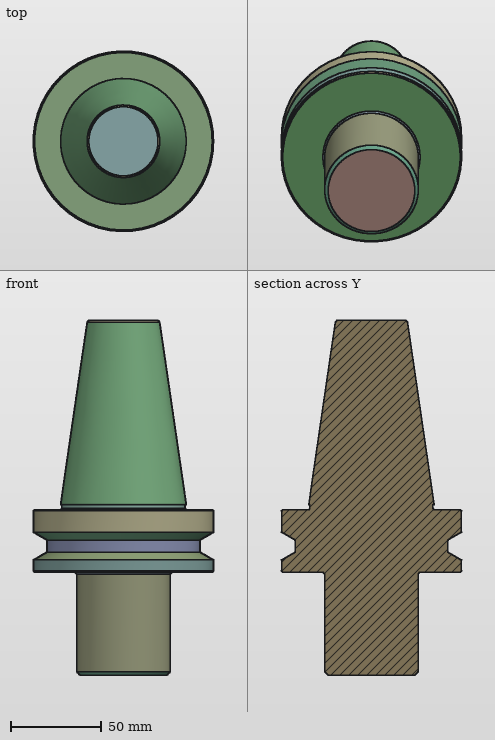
import cadquery as cq
import math

total_height = 196.8
gauge_height = 95.0
flange_top = 92.0
flange_bottom = 57.0

flange_radius = 50.0
flange_chamfer = 0.8

groove_radius = 42.5
groove_center = 71.6
groove_floor_width = 6.7
groove_angle = 30.0

taper_base_radius = 34.8
taper_land = 0.5
taper_ratio = 7 / 24
taper_tip_chamfer = 1.0
neck_radius = 34.2
neck_chamfer = 0.5

shank_radius = 26.0
shank_chamfer = 2.0
shank_root_chamfer = 1.0

groove_depth = flange_radius - groove_radius
flank_height = groove_depth * math.tan(math.radians(groove_angle))
floor_top = groove_center + groove_floor_width / 2
floor_bottom = groove_center - groove_floor_width / 2
chamfer_start = total_height - taper_tip_chamfer
taper_tip_radius = taper_base_radius - (chamfer_start - gauge_height) * taper_ratio / 2

profile = [
    (0, 0),
    (shank_radius - shank_chamfer, 0),
    (shank_radius, shank_chamfer),
    (shank_radius, flange_bottom - shank_root_chamfer),
    (shank_radius + shank_root_chamfer, flange_bottom),
    (flange_radius - flange_chamfer, flange_bottom),
    (flange_radius, flange_bottom + flange_chamfer),
    (flange_radius, floor_bottom - flank_height),
    (groove_radius, floor_bottom),
    (groove_radius, floor_top),
    (flange_radius, floor_top + flank_height),
    (flange_radius, flange_top - flange_chamfer),
    (flange_radius - flange_chamfer, flange_top),
    (neck_radius + neck_chamfer, flange_top),
    (neck_radius, flange_top + neck_chamfer),
    (neck_radius, gauge_height - taper_land),
    (taper_base_radius, gauge_height - taper_land),
    (taper_base_radius, gauge_height),
    (taper_tip_radius, chamfer_start),
    (taper_tip_radius - taper_tip_chamfer, total_height),
    (0, total_height),
]

result = cq.Workplane("XZ").polyline(profile).close().revolve(360, (0, 0), (0, 1))